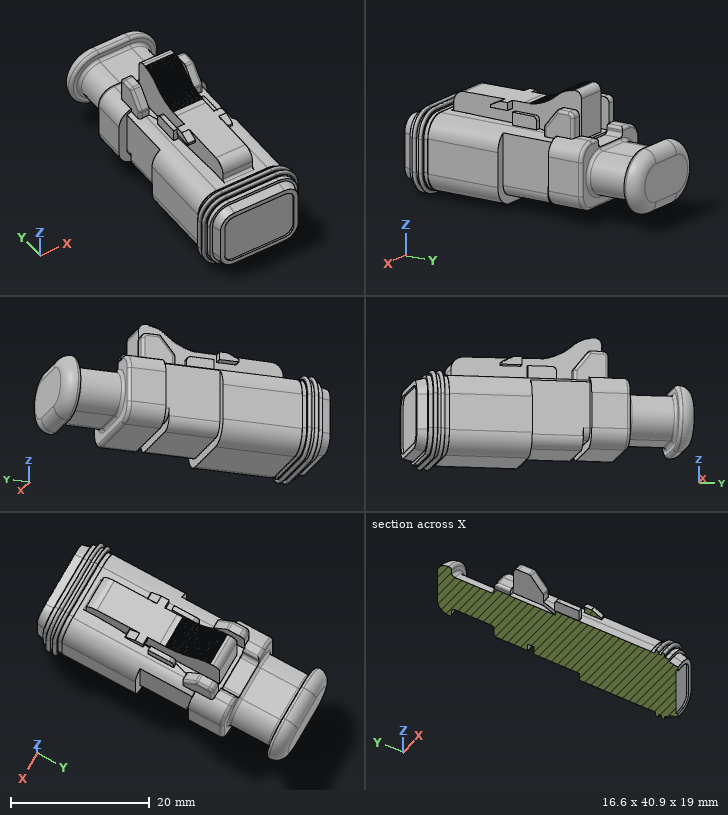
import cadquery as cq
import math


housing_half_x = 7.58
housing_half_z = 5.85
housing_radius = 3.2
sleeve_half_x = 7.55
sleeve_half_z = 5.82
sleeve_back_y = 4.6
sleeve_radius = 3.35

nose_length = 1.5
nose_half_x = 6.7
nose_half_z = 4.98
nose_radius = 2.4
nose_taper = 0.37
recess_half_x = 5.97
recess_half_z = 4.23
recess_radius = 1.67
recess_depth = 0.3

seal_half_x = 8.275
seal_half_z = 6.55
seal_corner_radius = 4.0
ridge_radius = 0.29
ridge_centers_y = (2.53, 3.6)
band_height = 0.22
band_front_y = 2.2
band_back_y = 3.93

waist_front_y = 16.75
waist_step_y = 24.5
waist_half_x = 6.2
waist_bottom_z = -4.52
waist_radius = 1.87
waist_step_bottom_z = -3.05
waist_step_radius = 1.53

rear_center_z = 0.92
collar_front_y = 25.48
collar_back_y = 31.24
collar_half_x = housing_half_x
collar_half_z = 5.23
collar_radius = 2.65
collar_edge_radius = 0.5
neck_half_x = 5.97
neck_half_z = 3.26
neck_fillet = 0.47
knob_half_x = housing_half_x
knob_half_z = 4.87
knob_front_y = 38.36
knob_back_y = 40.88
knob_front_radius = 0.5
knob_back_radius = 2.0

hollow_floor_z = 5.1
hollow_back_y = 28.5
hollow_bend_y = 23.3
hollow_neck_y = 21.0
hollow_front_y = 8.0
hollow_neck_half_x = 3.12
channel_floor_z = 4.75
channel_half_x = 3.15
channel_floor_radius = 0.65
channel_edge_radius = 0.45

latch_half_x = 2.55
latch_front_y = 5.75
latch_back_y = 27.9
latch_front_top_z = 9.02
latch_top_z = 9.14
latch_front_radius = 1.85
latch_foot_radius = 0.4
latch_crest_z = 12.46
latch_crest_y = 26.8
latch_sweep_front_y = 18.0
sweep_lower_share = 0.63
latch_back_radius = 1.1

groove_count = 28
groove_first_y = 19.05
groove_last_y = 26.2
groove_depth = 0.12

ear_inner_x = 3.85
ear_outer_x = 5.48
ear_front_y = 23.25
ear_back_y = 28.4
ear_top_z = 10.02
ear_top_front_y = 25.55
ear_slope_end_z = 7.2
ear_edge_radius = 0.45
ear_back_radius = 0.85
guide_inner_x = hollow_neck_half_x
guide_front_y = 16.8
guide_back_y = 21.0
guide_top_z = 7.8
guide_corner_radius = 0.7
wing_front_y = 12.98
wing_slope_y = 14.65
wing_back_y = 15.95
wing_bottom_z = 7.9
wing_front_z = 8.28


def rounded_bar(half_x, half_z, radius, y_start, y_end, center_z=0.0, taper=0.0):
    """Rounded rectangle in XZ, extruded along Y from y_start to y_end."""
    outline = cq.Sketch().rect(2 * half_x, 2 * half_z).vertices().fillet(radius)
    plane = cq.Workplane("XZ", origin=(0, y_start, center_z))
    return plane.placeSketch(outline).extrude(y_start - y_end, taper=taper)


def side_profile(x_start):
    """Workplane at x_start whose local axes are Y and Z."""
    return cq.Workplane("YZ", origin=(x_start, 0, 0))


def with_mirror(shape):
    return shape.union(shape.mirror("YZ"))


def make_nose():
    face_angle = math.degrees(math.atan(nose_taper / nose_length))
    nose = rounded_bar(nose_half_x, nose_half_z, nose_radius, 0, nose_length, taper=-face_angle)
    return nose.cut(rounded_bar(recess_half_x, recess_half_z, recess_radius, 0, recess_depth))


def make_seal_ridge(center_y):
    """Flat-sided core with a round cord swept along its rim, reaching out to the seal size."""
    core = rounded_bar(
        seal_half_x - ridge_radius,
        seal_half_z - ridge_radius,
        seal_corner_radius - ridge_radius,
        center_y - ridge_radius,
        center_y + ridge_radius,
    )
    rim = core.faces("<Y").wires().val().translate(cq.Vector(0, ridge_radius, 0))
    cord_plane = cq.Plane(origin=rim.positionAt(0), xDir=(0, 1, 0), normal=rim.tangentAt(0))
    cord = cq.Workplane(cord_plane).circle(ridge_radius).sweep(rim, transition="right")
    return core.union(cord)


def make_seal():
    seal = rounded_bar(
        sleeve_half_x + band_height,
        sleeve_half_z + band_height,
        sleeve_radius + band_height,
        band_front_y,
        band_back_y,
    )
    for center_y in ridge_centers_y:
        seal = seal.union(make_seal_ridge(center_y))
    return seal


def make_waist_part(half_x, bottom_z, corner_radius, y_start, y_end):
    """Housing section narrowed at the sides and underneath, keeping its own top."""
    section_height = 2 * housing_half_z
    center_z = bottom_z + section_height
    narrow = rounded_bar(half_x, section_height, corner_radius, y_start, y_end, center_z)
    full = rounded_bar(housing_half_x, housing_half_z, housing_radius, y_start, y_end)
    return full.intersect(narrow)


def make_housing():
    sleeve = rounded_bar(sleeve_half_x, sleeve_half_z, sleeve_radius, nose_length, sleeve_back_y)
    body = rounded_bar(housing_half_x, housing_half_z, housing_radius, sleeve_back_y, waist_front_y)
    waist = make_waist_part(waist_half_x, waist_bottom_z, waist_radius, waist_front_y, waist_step_y)
    step = make_waist_part(waist_half_x, waist_step_bottom_z, waist_step_radius, waist_step_y, hollow_back_y)
    housing = make_nose().union(sleeve).union(body).union(waist).union(step)
    return housing.union(make_seal())


def stadium_bar(half_x, half_z, y_start, y_end):
    """Bar with full-round sides on the rear axis, running along Y."""
    plane = cq.Workplane("XZ", origin=(0, y_start, rear_center_z))
    return plane.slot2D(2 * half_x, 2 * half_z).extrude(y_start - y_end)


def make_rear():
    """Collar, neck and knob, with the channel cut through the collar top."""
    collar = rounded_bar(
        collar_half_x, collar_half_z, collar_radius, collar_front_y, collar_back_y, rear_center_z
    )
    collar = collar.faces(">Y").edges().fillet(collar_edge_radius)
    neck = stadium_bar(neck_half_x, neck_half_z, collar_back_y, knob_front_y)
    knob = stadium_bar(knob_half_x, knob_half_z, knob_front_y, knob_back_y)
    knob = knob.faces(">Y").edges().fillet(knob_back_radius)
    knob = knob.faces("<Y").edges().fillet(knob_front_radius)
    rear = collar.union(neck).union(knob)
    reach_x = neck_half_x + neck_fillet
    reach_z = neck_half_z + neck_fillet
    neck_region = cq.selectors.BoxSelector(
        (-reach_x, collar_back_y - neck_fillet, rear_center_z - reach_z),
        (reach_x, knob_front_y + neck_fillet, rear_center_z + reach_z),
        boundingbox=True,
    )
    rear = rear.edges(neck_region).edges("not |Y").fillet(neck_fillet)
    return rear.cut(make_channel())


def make_channel():
    top_z = rear_center_z + collar_half_z
    lip_start = (channel_half_x + channel_edge_radius, top_z)
    lip_end = (channel_half_x, top_z - channel_edge_radius)
    floor_start = (channel_half_x, channel_floor_z + channel_floor_radius)
    floor_end = (channel_half_x - channel_floor_radius, channel_floor_z)
    half = (
        cq.Workplane("XZ", origin=(0, collar_front_y, 0))
        .moveTo(0, top_z)
        .lineTo(*lip_start)
        .radiusArc(lip_end, -channel_edge_radius)
        .lineTo(*floor_start)
        .radiusArc(floor_end, channel_floor_radius)
        .lineTo(0, channel_floor_z)
        .close()
        .extrude(collar_front_y - collar_back_y)
    )
    return with_mirror(half)


def make_hollow():
    """Recess under the latch that narrows toward the front."""
    top_z = rear_center_z + collar_half_z
    half = (
        cq.Workplane("XY", origin=(0, 0, hollow_floor_z))
        .moveTo(0, hollow_back_y)
        .lineTo(ear_inner_x, hollow_back_y)
        .lineTo(ear_inner_x, hollow_bend_y)
        .lineTo(hollow_neck_half_x, hollow_neck_y)
        .lineTo(latch_half_x, hollow_front_y)
        .lineTo(0, hollow_front_y)
        .close()
        .extrude(top_z - hollow_floor_z)
    )
    return with_mirror(half)


sweep_run = latch_crest_y - latch_sweep_front_y
sweep_rise = latch_crest_z - latch_top_z
sweep_angle = 2 * math.atan(sweep_rise / sweep_run)
sweep_radii_sum = sweep_run / math.sin(sweep_angle)
sweep_lower_radius = sweep_lower_share * sweep_radii_sum
sweep_upper_radius = sweep_radii_sum - sweep_lower_radius
sweep_join_y = latch_sweep_front_y + sweep_lower_radius * math.sin(sweep_angle)


def sweep_point(y):
    """Height and slope angle of the latch sweep at position y."""
    if y < sweep_join_y:
        angle = math.asin((y - latch_sweep_front_y) / sweep_lower_radius)
        return latch_top_z + sweep_lower_radius * (1 - math.cos(angle)), angle
    angle = math.asin((latch_crest_y - y) / sweep_upper_radius)
    return latch_crest_z - sweep_upper_radius * (1 - math.cos(angle)), angle


def latch_top_at(y):
    """Height of the gently sloping latch top in front of the sweep."""
    slope_front_y = latch_front_y + latch_front_radius
    fraction = (y - slope_front_y) / (latch_sweep_front_y - slope_front_y)
    return latch_front_top_z + fraction * (latch_top_z - latch_front_top_z)


def make_latch():
    join_z, _ = sweep_point(sweep_join_y)
    foot_z = housing_half_z + latch_foot_radius
    latch = (
        side_profile(-latch_half_x)
        .moveTo(latch_back_y, hollow_floor_z)
        .lineTo(latch_front_y - latch_foot_radius, hollow_floor_z)
        .lineTo(latch_front_y - latch_foot_radius, housing_half_z)
        .radiusArc((latch_front_y, foot_z), -latch_foot_radius)
        .lineTo(latch_front_y, latch_front_top_z - latch_front_radius)
        .radiusArc((latch_front_y + latch_front_radius, latch_front_top_z), latch_front_radius)
        .lineTo(latch_sweep_front_y, latch_top_z)
        .radiusArc((sweep_join_y, join_z), -sweep_lower_radius)
        .radiusArc((latch_crest_y, latch_crest_z), sweep_upper_radius)
        .radiusArc((latch_back_y, latch_crest_z - latch_back_radius), latch_back_radius)
        .close()
        .extrude(2 * latch_half_x)
    )
    return latch.cut(make_grip_grooves())


def make_grip_grooves():
    """Square bars turned on edge, so that each one cuts a V-shaped groove."""
    groove_pitch = (groove_last_y - groove_first_y) / (groove_count - 1)
    cutter_side = math.sqrt(2) * groove_depth
    grooves = []
    for index in range(groove_count):
        groove_y = groove_first_y + index * groove_pitch
        surface_z, angle = sweep_point(groove_y)
        cutter = cq.Workplane("XY").box(2 * latch_half_x, cutter_side, cutter_side)
        cutter = cutter.rotate((0, 0, 0), (1, 0, 0), 45 + math.degrees(angle))
        grooves.append(cutter.translate((0, groove_y, surface_z)).val())
    return cq.Workplane("XY").newObject([cq.Compound.makeCompound(grooves)])


def make_ear():
    ear = (
        side_profile(ear_inner_x)
        .moveTo(ear_back_y, hollow_floor_z)
        .lineTo(ear_front_y, hollow_floor_z)
        .lineTo(ear_front_y, ear_slope_end_z)
        .lineTo(ear_top_front_y, ear_top_z)
        .lineTo(ear_back_y, ear_top_z)
        .close()
        .extrude(ear_outer_x - ear_inner_x)
    )
    ear = ear.faces(">Y").edges(">Z").fillet(ear_back_radius)
    ear = ear.faces("<Y").edges(">Z").fillet(ear_edge_radius)
    ear = ear.faces(">Z").edges("<Y").fillet(ear_edge_radius)
    return ear.faces(">X").edges("not <Z").fillet(ear_edge_radius)


def make_guide():
    height = guide_top_z - hollow_floor_z
    guide = (
        side_profile(guide_inner_x)
        .moveTo(guide_front_y, hollow_floor_z)
        .lineTo(guide_back_y, hollow_floor_z)
        .line(0, height - guide_corner_radius)
        .radiusArc((guide_back_y - guide_corner_radius, guide_top_z), -guide_corner_radius)
        .lineTo(guide_front_y, guide_top_z)
        .close()
    )
    return guide.extrude(ear_inner_x - guide_inner_x)


def make_wing():
    wing = (
        side_profile(latch_half_x)
        .moveTo(wing_front_y, wing_bottom_z)
        .lineTo(wing_front_y, wing_front_z)
        .lineTo(wing_slope_y, latch_top_at(wing_slope_y))
        .lineTo(wing_back_y, latch_top_at(wing_back_y))
        .lineTo(wing_back_y, wing_bottom_z)
        .close()
    )
    return wing.extrude(ear_inner_x - latch_half_x)


def make_part():
    part = make_housing().union(make_rear()).cut(make_hollow()).union(make_latch())
    for side_feature in (make_ear(), make_guide(), make_wing()):
        part = part.union(with_mirror(side_feature))
    return part


result = make_part()